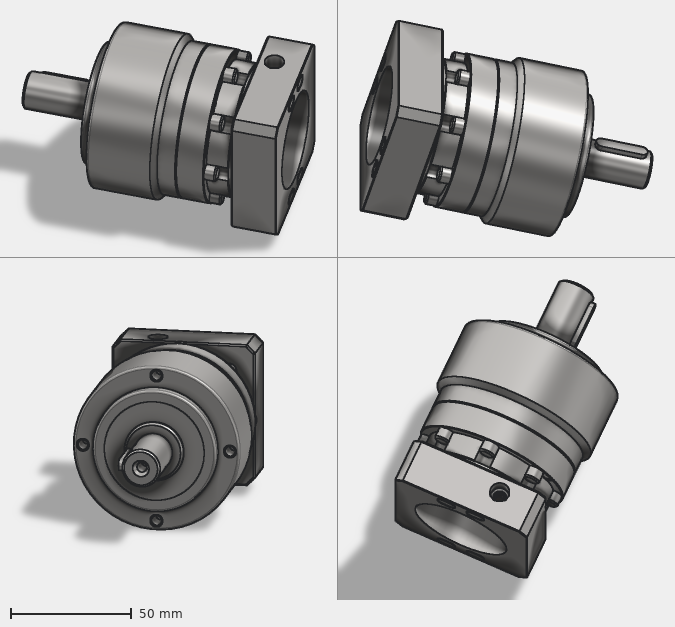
import cadquery as cq
import math


drill_tip_half_angle = 59.0

total_length = 115.5
collar_front_x = 28.3
pilot_front_x = 30.1
body_front_x = 35.0
cone_start_x = 62.5
cone_end_x = 64.9
groove_x = 72.9
flange_rear_x = 84.9
screw_head_length = 5.0
neck_rear_x = 94.4
plate_front_x = 95.9
pad_height = 0.2
plate_rear_x = total_length - pad_height

shaft_radius = 8.0
shaft_end_chamfer = 0.9
collar_radius = 12.5
collar_chamfer = 1.0
shoulder_radius = 21.0
shoulder_thickness = 3.5
centre_hole_radius = 2.1
centre_hole_mouth_radius = 3.5
centre_hole_depth = 12.5
centre_cone_half_angle = 30.0

key_front_x = 2.9
key_length = 22.1
key_width = 5.0
key_top_y = 9.9
key_height = 5.0

pilot_radius = 26.0
body_radius = 35.0
edge_fillet = 1.0
flange_radius = 32.5
flange_edge_chamfer = 0.3
neck_radius = 28.4

front_hole_count = 4
front_hole_circle_radius = 31.0
front_hole_radius = 2.1
front_hole_mouth_radius = 2.7
front_hole_mouth_half_angle = 45.0
front_hole_depth = 10.0

screw_count = 8
screw_circle_radius = 28.6
screw_head_radius = 3.5
screw_head_chamfer = 0.7
pocket_radius = 3.6

plate_width = 60.1
plate_corner_chamfer = 3.5
plate_front_chamfer = 0.7
plate_rear_chamfer = 0.3
motor_bore_radius = 20.8

access_x = 102.9
access_y = 12.0
access_steps = ((4.0, 6.9), (2.8, 9.2))
access_inner_radius = 2.1

pad_length = 8.1
pad_width = 4.7
pad_y = 6.6
pad_z = 26.0


def revolve_about_x(outline):
    """Revolve a closed outline of (x, radius) points about the X axis."""
    return cq.Workplane("XZ").polyline(outline).close().revolve(360, (0, 0, 0), (1, 0, 0))


def cylinder_x(radius, x_start, x_end, y=0.0, z=0.0):
    """Cylinder parallel to X, between two stations."""
    cylinder = revolve_about_x([(x_start, 0), (x_start, radius), (x_end, radius), (x_end, 0)])
    return cylinder.translate((0, y, z))


def drilled_hole(x_face, radius, depth, mouth_radius, mouth_half_angle):
    """Blind hole on the X axis with a conical mouth and a drill tip, to be cut away."""
    mouth_depth = (mouth_radius - radius) / math.tan(math.radians(mouth_half_angle))
    tip_length = radius / math.tan(math.radians(drill_tip_half_angle))
    return revolve_about_x([
        (x_face, 0),
        (x_face, mouth_radius),
        (x_face + mouth_depth, radius),
        (x_face + depth, radius),
        (x_face + depth + tip_length, 0),
    ])


def circle_places(count, radius):
    """Evenly spaced (y, z) places on a circle about the X axis, the first one at +Y."""
    step = 2 * math.pi / count
    return [(radius * math.cos(i * step), radius * math.sin(i * step)) for i in range(count)]


def make_key():
    return (
        cq.Workplane("XZ", origin=(key_front_x + key_length / 2, key_top_y, 0))
        .slot2D(key_length, key_width)
        .extrude(key_height)
    )


def make_shaft(key):
    """Stepped shaft whose rear shoulder sits in the pilot, with a keyway and a centre hole."""
    shoulder_rear_x = pilot_front_x + shoulder_thickness
    shaft = revolve_about_x([
        (0, 0),
        (0, shaft_radius - shaft_end_chamfer),
        (shaft_end_chamfer, shaft_radius),
        (collar_front_x, shaft_radius),
        (collar_front_x, collar_radius - collar_chamfer),
        (collar_front_x + collar_chamfer, collar_radius),
        (pilot_front_x, collar_radius),
        (pilot_front_x, shoulder_radius),
        (shoulder_rear_x, shoulder_radius),
        (shoulder_rear_x, 0),
    ])
    centre_hole = drilled_hole(
        0, centre_hole_radius, centre_hole_depth, centre_hole_mouth_radius, centre_cone_half_angle
    )
    return shaft.cut(centre_hole).cut(key)


def housing_blank():
    """Turned shape: pilot, large cylinder, cone, grooved flange and neck."""
    c = flange_edge_chamfer
    pilot = cylinder_x(pilot_radius, pilot_front_x, body_front_x).faces("<X").edges().fillet(edge_fillet)
    drum = cylinder_x(body_radius, body_front_x, cone_start_x).faces("<X").edges().fillet(edge_fillet)
    rear = revolve_about_x([
        (cone_start_x, 0),
        (cone_start_x, body_radius),
        (cone_end_x, flange_radius),
        (groove_x - c, flange_radius),
        (groove_x, flange_radius - c),
        (groove_x + c, flange_radius),
        (flange_rear_x - c, flange_radius),
        (flange_rear_x, flange_radius - c),
        (flange_rear_x, neck_radius),
        (neck_rear_x - c, neck_radius),
        (neck_rear_x, neck_radius - c),
        (neck_rear_x, 0),
    ])
    return drum.union(pilot).union(rear)


def make_housing():
    housing = housing_blank()

    housing = housing.cut(
        cylinder_x(shoulder_radius, pilot_front_x, pilot_front_x + shoulder_thickness)
    )

    front_hole = drilled_hole(
        body_front_x,
        front_hole_radius,
        front_hole_depth,
        front_hole_mouth_radius,
        front_hole_mouth_half_angle,
    )
    for y, z in circle_places(front_hole_count, front_hole_circle_radius):
        housing = housing.cut(front_hole.translate((0, y, z)))

    head_end_x = flange_rear_x + screw_head_length
    for y, z in circle_places(screw_count, screw_circle_radius):
        housing = housing.cut(cylinder_x(pocket_radius, flange_rear_x, neck_rear_x, y, z))
        head = cylinder_x(screw_head_radius, flange_rear_x, head_end_x, y, z)
        head = head.faces(">X").edges().chamfer(screw_head_chamfer)
        housing = housing.union(head)
    return housing


def make_motor_plate():
    """Square plate with a round spigot against the neck and a bore for the motor."""
    plate = (
        cq.Workplane("YZ", origin=(plate_front_x, 0, 0))
        .rect(plate_width, plate_width)
        .extrude(plate_rear_x - plate_front_x)
        .edges("|X")
        .chamfer(plate_corner_chamfer)
    )
    plate = plate.faces("<X").edges().chamfer(plate_front_chamfer)
    plate = plate.faces(">X").edges().chamfer(plate_rear_chamfer)
    plate = plate.union(cylinder_x(neck_radius, neck_rear_x, plate_front_x))
    plate = plate.cut(cylinder_x(motor_bore_radius, neck_rear_x, plate_rear_x))

    top = cq.Workplane("XY", origin=(access_x, access_y, plate_width / 2))
    plate = plate.cut(top.circle(access_inner_radius).extrude(-plate_width / 2))
    for radius, depth in access_steps:
        plate = plate.cut(top.circle(radius).extrude(-depth))

    pads = (
        cq.Workplane("YZ", origin=(plate_rear_x, 0, 0))
        .rect(2 * pad_y, 2 * pad_z, forConstruction=True)
        .vertices()
        .slot2D(pad_length, pad_width)
        .extrude(pad_height)
    )
    return plate.union(pads)


key = make_key()
shaft = make_shaft(key)
housing = make_housing()
motor_plate = make_motor_plate()

result = cq.Compound.makeCompound([shaft.val(), key.val(), housing.val(), motor_plate.val()])